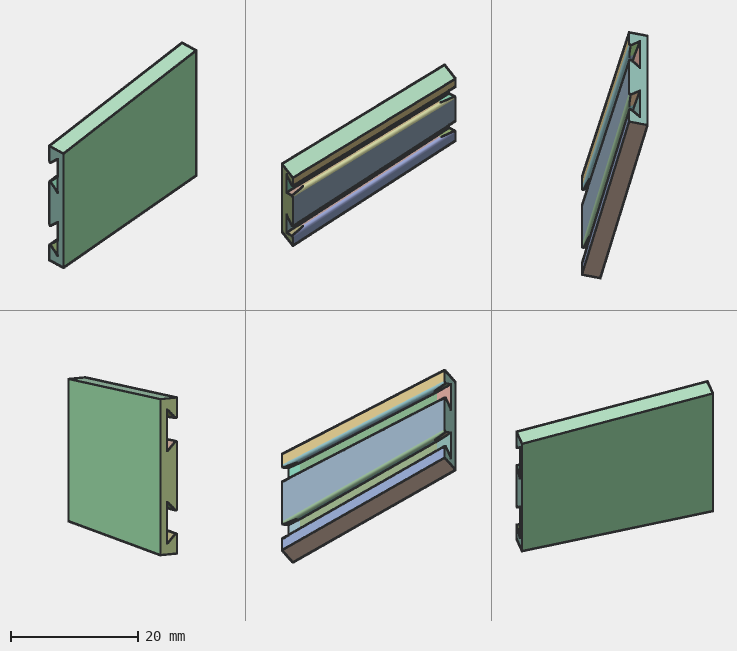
import cadquery as cq
import math

thickness = 3.0
length = 31.5
tall_end_height = 25.05
top_slope = 4.0

groove_inset = 5.1
floor_half_width = 2.75
groove_depth = 1.5
lip_radius = 0.4
flank_angle = 45.0

flare_length = 2.5
flare_offset = 0.25

half_length = length / 2
slope = math.tan(math.radians(top_slope))
flank_run = 1 / math.tan(math.radians(flank_angle))
mouth_half_width = floor_half_width - groove_depth * flank_run


def top_edge(y):
    return tall_end_height - (half_length - y) * slope


def lower_centre(y):
    return groove_inset


def upper_centre(y):
    return top_edge(y) - groove_inset / math.cos(math.radians(top_slope))


def dovetail_wire(y, centre, offset):
    """Sharp dovetail section at y, with floor and flanks moved outward by offset."""
    depth = groove_depth + offset
    mouth = mouth_half_width + offset / math.sin(math.radians(90 - flank_angle))
    floor = mouth + depth * flank_run
    points = [(0, -mouth), (depth, -floor), (depth, floor), (0, mouth)]
    return cq.Wire.makePolygon([cq.Vector(x, y, centre + z) for x, z in points], close=True)


def lip_opening_wire(y, centre):
    """Mouth section bounded by the two round lips, from face tangency to flank tangency."""
    tangent_angle = math.radians(180 - flank_angle)
    face_half_width = mouth_half_width + lip_radius / math.tan((math.pi - tangent_angle) / 2)

    def lip_point(turn):
        return lip_radius * (1 - math.cos(turn)), face_half_width - lip_radius * math.sin(turn)

    middle_x, middle_z = lip_point(tangent_angle / 2)
    end_x, end_z = lip_point(tangent_angle)
    return (
        cq.Workplane("XZ", origin=(0, y, centre))
        .moveTo(0, -face_half_width)
        .threePointArc((middle_x, -middle_z), (end_x, -end_z))
        .lineTo(end_x, end_z)
        .threePointArc((middle_x, middle_z), (0, face_half_width))
        .close()
        .val()
    )


def ruled_solid(start, end):
    return cq.Workplane(obj=cq.Solid.makeLoft([start, end], True))


def cut_groove(body, centre_at):
    """Cut one groove with rounded lips and flared ends along the line Z = centre_at(y)."""
    stations = [
        (-half_length, flare_offset),
        (-half_length + flare_length, 0),
        (half_length - flare_length, 0),
        (half_length, flare_offset),
    ]
    sections = [dovetail_wire(y, centre_at(y), offset) for y, offset in stations]
    for start, end in zip(sections, sections[1:]):
        body = body.cut(ruled_solid(start, end))
    ends = [lip_opening_wire(y, centre_at(y)) for y in (-half_length, half_length)]
    return body.cut(ruled_solid(*ends))


plate = (
    cq.Workplane("YZ")
    .moveTo(-half_length, 0)
    .lineTo(half_length, 0)
    .lineTo(half_length, tall_end_height)
    .lineTo(-half_length, top_edge(-half_length))
    .close()
    .extrude(thickness)
)

result = plate
for groove_centre in (lower_centre, upper_centre):
    result = cut_groove(result, groove_centre)